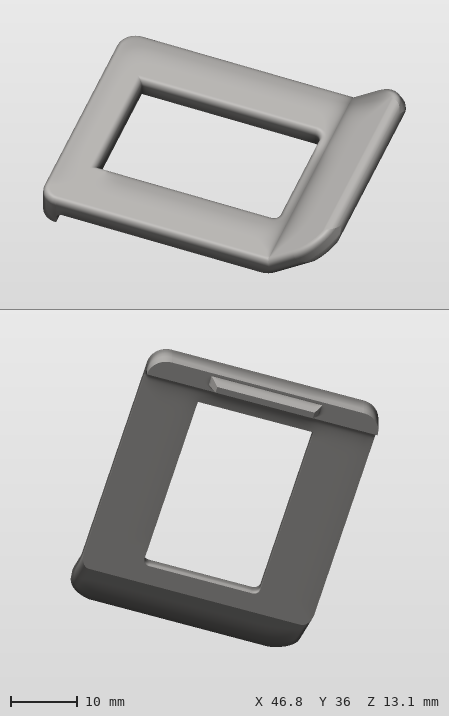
import cadquery as cq
import math

width = 36.02
plate_thickness = 2.8
plate_corner_radius = 3.0
rim_radius = 1.0

wall_thickness = 3.0
wall_drop = 2.0
wall_root_radius = 1.0
wall_bottom = -plate_thickness - wall_drop

tab_height = 2.0
tab_outer_x = 0.5
tab_inner_x = 2.0
tab_taper_x = 0.5
tab_width = 17.3
tab_taper_y = 1.05

window_left = 6.3
window_right = 35.1
window_width = 18.1
window_corner_radius = 1.0

bend_x = 36.83
paddle_angle = math.radians(38.6)
paddle_thickness = 3.0
paddle_length = 11.12
paddle_corner_radius = 6.0
paddle_edge_radius = paddle_thickness / 2

tolerance = 1e-4

along = cq.Vector(math.cos(paddle_angle), 0, math.sin(paddle_angle))
through = cq.Vector(math.sin(paddle_angle), 0, -math.cos(paddle_angle))
bend = cq.Vector(bend_x, 0, 0)
tip_top = bend + along * paddle_length
tip_bottom = tip_top + through * paddle_thickness


def paddle_depth(edge):
    """Distance of an edge's middle below the plane of the paddle's upper face."""
    return (edge.Center() - bend).dot(through)


def fillet_where(body, radius, condition):
    """Fillet every edge that meets the condition."""
    chosen = [edge for edge in body.edges().vals() if condition(edge)]
    return body.newObject(chosen).fillet(radius)


def make_bent_body(round_tip):
    """Foot wall, plate and paddle as one side profile, with a square or fully round tip."""
    underside = -plate_thickness
    under_bend_x = tip_bottom.x - (tip_bottom.z - underside) / math.tan(paddle_angle)
    profile = (
        cq.Workplane("XZ", origin=(0, width / 2, 0))
        .lineTo(0, wall_bottom)
        .lineTo(wall_thickness, wall_bottom)
        .lineTo(wall_thickness, underside - wall_root_radius)
        .radiusArc((wall_thickness + wall_root_radius, underside), wall_root_radius)
        .lineTo(under_bend_x, underside)
    )
    if round_tip:
        arc_start = tip_bottom - along * paddle_edge_radius
        arc_middle = tip_top + through * paddle_edge_radius
        arc_end = tip_top - along * paddle_edge_radius
        profile = profile.lineTo(arc_start.x, arc_start.z)
        profile = profile.threePointArc((arc_middle.x, arc_middle.z), (arc_end.x, arc_end.z))
    else:
        profile = profile.lineTo(tip_bottom.x, tip_bottom.z).lineTo(tip_top.x, tip_top.z)
    return profile.lineTo(bend_x, 0).close().extrude(width)


def round_outline(body):
    """Round the upright corners at the plate's left end and at the paddle's tip."""
    length = 2 * bend_x
    height = 2 * bend_x
    plan = (
        cq.Workplane("XY")
        .box(length, width, height, centered=(False, True, True))
        .edges("|Z and <X")
        .fillet(plate_corner_radius)
    )
    tip_corners = cq.selectors.ParallelDirSelector(through)
    return body.edges(tip_corners).fillet(paddle_corner_radius).intersect(plan)


def is_upper_rim(edge):
    centre = edge.Center()
    on_plate = abs(edge.BoundingBox().zmax) < tolerance and abs(centre.z) < tolerance
    on_paddle = abs(paddle_depth(edge)) < tolerance
    return on_plate != on_paddle


def is_paddle_under_rim(edge):
    above_plate_bottom = edge.Center().z > -plate_thickness + tolerance
    return above_plate_bottom and abs(paddle_depth(edge) - paddle_thickness) < tolerance


def is_paddle_under_side(edge):
    return is_paddle_under_rim(edge) and abs(edge.Center().y) > width / 2 - tolerance


def make_window_cutter():
    """Through opening, square at the left corners and rounded at the right ones."""
    return (
        cq.Workplane("XY")
        .center(window_left, 0)
        .box(window_right - window_left, window_width, 4 * plate_thickness, centered=(False, True, True))
        .edges("|Z and >X")
        .fillet(window_corner_radius)
    )


def is_window_rim(edge):
    box = edge.BoundingBox()
    on_top = abs(box.zmin) < tolerance and abs(box.zmax) < tolerance
    in_x = box.xmin > window_left - tolerance and box.xmax < window_right + tolerance
    in_y = box.ymax < window_width / 2 + tolerance and box.ymin > -window_width / 2 - tolerance
    return on_top and in_x and in_y


def make_tab():
    """Tab tapering downward on its outer side and at both ends."""
    side = (
        cq.Workplane("XZ", origin=(0, tab_width / 2, wall_bottom))
        .moveTo(tab_outer_x, 0)
        .lineTo(tab_inner_x, 0)
        .lineTo(tab_inner_x, -tab_height)
        .lineTo(tab_outer_x + tab_taper_x, -tab_height)
        .close()
        .extrude(tab_width)
    )
    front = (
        cq.Workplane("YZ", origin=(0, 0, wall_bottom))
        .moveTo(-tab_width / 2, 0)
        .lineTo(tab_width / 2, 0)
        .lineTo(tab_width / 2 - tab_taper_y, -tab_height)
        .lineTo(-tab_width / 2 + tab_taper_y, -tab_height)
        .close()
        .extrude(wall_thickness)
    )
    return side.intersect(front)


body = round_outline(make_bent_body(round_tip=False))
body = fillet_where(body, rim_radius, is_upper_rim)
body = fillet_where(body, rim_radius, is_paddle_under_rim)

paddle_envelope = fillet_where(make_bent_body(round_tip=False), paddle_edge_radius, is_paddle_under_side)
paddle_envelope = paddle_envelope.intersect(make_bent_body(round_tip=True))
body = body.intersect(paddle_envelope)

body = body.cut(make_window_cutter())
body = fillet_where(body, rim_radius, is_window_rim)
result = body.union(make_tab())